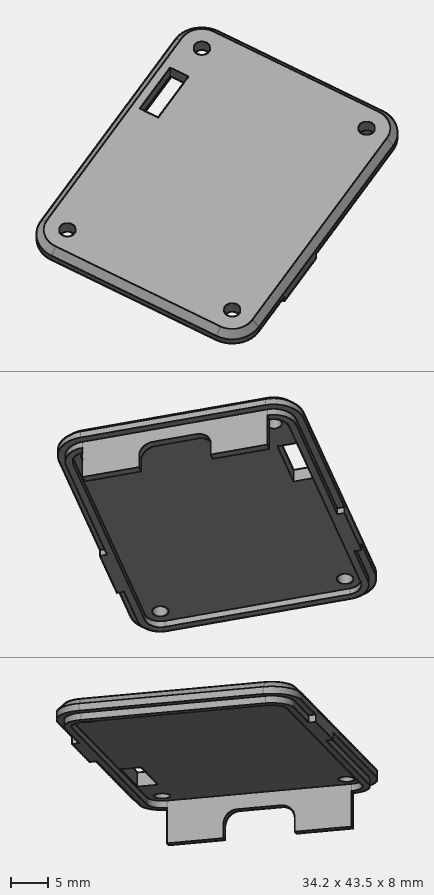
import cadquery as cq

width = 34.2
length = 43.5
height = 8.0
corner_radius = 4.18
plate_thickness = 2.0
edge_chamfer = 1.0

rim_inset = 1.0
rim_depth = 1.0
wall_thickness = 1.0

tab_front = -10.9
tab_back = -2.52

hole_diameter = 2.2
hole_x = width / 2 - corner_radius
hole_y = length / 2 - corner_radius

slot_width = 2.85
slot_length = 7.9
slot_x = -13.5
slot_y = 8.65

wall_width = width - 2 * corner_radius
notch_width = 10.0
notch_height = 3.9
notch_radius = 2.0

plate_bottom = height - plate_thickness
rim_bottom = plate_bottom - rim_depth


def make_plate():
    plate = (
        cq.Workplane("XY", origin=(0, 0, plate_bottom))
        .rect(width, length)
        .extrude(plate_thickness)
        .edges("|Z")
        .fillet(corner_radius)
    )
    return plate.faces(">Z").edges().chamfer(edge_chamfer)


def rounded_block(inset):
    return (
        cq.Workplane("XY", origin=(0, 0, rim_bottom))
        .rect(width - 2 * inset, length - 2 * inset)
        .extrude(rim_depth)
        .edges("|Z")
        .fillet(corner_radius - inset)
    )


def make_rim():
    tabs = (
        cq.Workplane("XY", origin=(0, (tab_front + tab_back) / 2, rim_bottom))
        .rect(width, tab_back - tab_front)
        .extrude(rim_depth)
    )
    cavity = rounded_block(rim_inset + wall_thickness)
    return rounded_block(rim_inset).union(tabs).cut(cavity)


def make_wall():
    wall_y = length / 2 - rim_inset - wall_thickness / 2
    wall = (
        cq.Workplane("XY", origin=(0, wall_y, 0))
        .rect(wall_width, wall_thickness)
        .extrude(plate_bottom)
    )
    notch = (
        cq.Workplane("XY", origin=(0, wall_y, 0))
        .rect(notch_width, wall_thickness)
        .extrude(notch_height)
        .edges("|Y and >Z")
        .fillet(notch_radius)
    )
    return wall.cut(notch)


def make_holes():
    return (
        cq.Workplane("XY")
        .rect(2 * hole_x, 2 * hole_y, forConstruction=True)
        .vertices()
        .circle(hole_diameter / 2)
        .extrude(height)
    )


def make_slot():
    return cq.Workplane("XY").center(slot_x, slot_y).rect(slot_width, slot_length).extrude(height)


body = make_plate().union(make_rim()).union(make_wall())
result = body.cut(make_holes()).cut(make_slot())